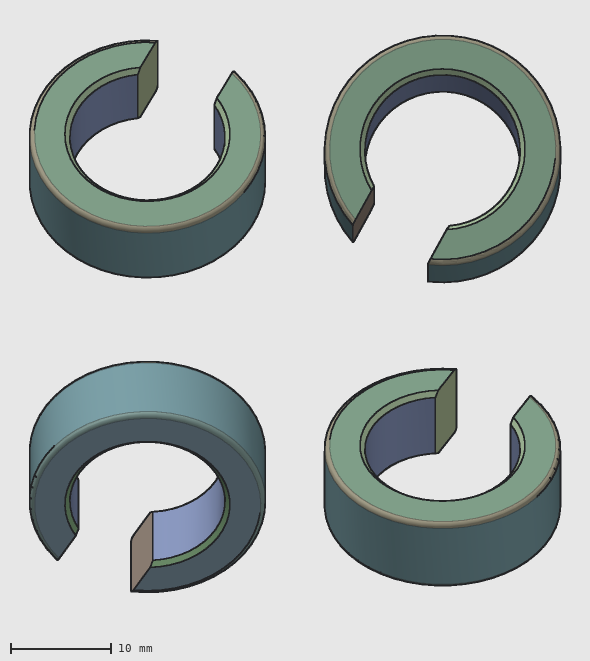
import cadquery as cq

outer_diameter = 23.6
bore_diameter = 15.5
height = 8.5
gap_width = 8.5
edge_size = 0.5


def ring():
    """Full ring with rounded outer rims and chamfered bore rims."""
    disc = (
        cq.Workplane("XY")
        .circle(outer_diameter / 2)
        .extrude(height)
        .faces("<Z or >Z")
        .edges()
        .fillet(edge_size)
    )
    return (
        disc.faces(">Z")
        .workplane()
        .hole(bore_diameter)
        .faces("<Z or >Z")
        .edges(cq.selectors.RadiusNthSelector(0))
        .chamfer(edge_size)
    )


def gap():
    """Parallel-sided opening through the +Y side of the ring wall."""
    return cq.Workplane("XY").box(
        gap_width, outer_diameter, height, centered=(True, False, False)
    )


result = ring().cut(gap())